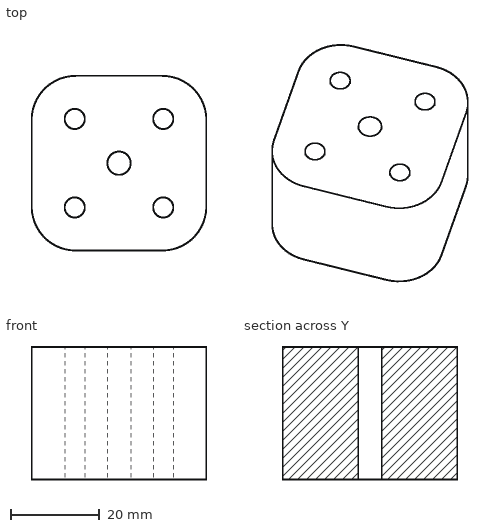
import cadquery as cq

side = 39.5
height = 30.0
corner_diameter = 20.0
center_hole_diameter = 5.2
outer_hole_diameter = 4.5
hole_spacing = 20.0

corner_radius = corner_diameter / 2


def rounded_block():
    """Square block standing on Z = 0 with its vertical edges rounded."""
    block = cq.Workplane("XY").box(side, side, height, centered=(True, True, False))
    return block.edges("|Z").fillet(corner_radius)


def cut_holes(body):
    """Drill the center hole and the four outer holes through the block."""
    body = body.faces(">Z").workplane().hole(center_hole_diameter)
    return (
        body.faces(">Z")
        .workplane()
        .rect(hole_spacing, hole_spacing, forConstruction=True)
        .vertices()
        .hole(outer_hole_diameter)
    )


result = cut_holes(rounded_block())